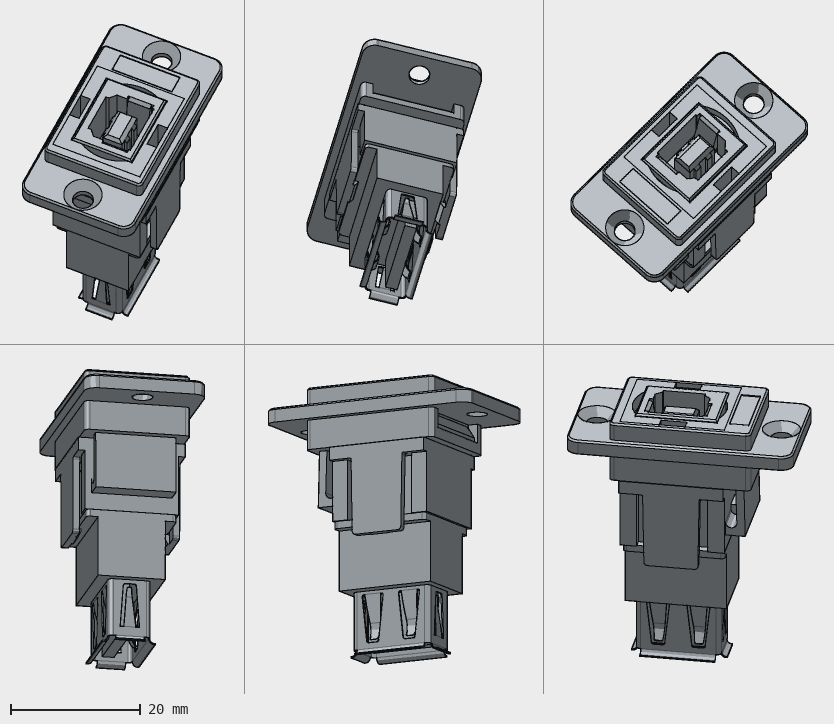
import cadquery as cq
import math

LIP_TOP_Z = 0.9
BLOCK_BOTTOM_Z = 10.0
LEDGE_BOTTOM_Z = 19.48
MODULE_BOTTOM_Z = 20.6
WING_BOTTOM_Z = 30.1
FRAME_BOTTOM_Z = 32.15
FLANGE_BOTTOM_Z = 36.8
FLANGE_TOP_Z = 39.1
FRAME_TOP_Z = 41.9
BLOCK_TOP_Z = 42.25

FLANGE_X = 19.0
FLANGE_Y = 35.5
FLANGE_CORNER_R = 2.0
EDGE_CHAMFER = 0.3
BEZEL_X = 16.6
BEZEL_Y = 22.2
BEZEL_CORNER_R = 0.75
SCREW_PITCH = 28.95
SCREW_D = 3.2
SINK_D = 5.9
SINK_ANGLE = 90
LABEL_X = 10.15
LABEL_Y = 3.0
LABEL_DEPTH = 0.15
LABEL_CENTER_Y = 8.75
WINDOW_X = 12.95
WINDOW_BOTTOM_Z = 33.85

MODULE_X = 14.8
MODULE_Y = 16.4
MODULE_CENTER_Y = -1.35
WING_X = 16.9
ARM_TOP_Y = 8.87
ARM_BOTTOM_Y = 8.45
ARM_BOTTOM_Z = 17.95
ARM_FOOT_R = 0.55
ARM_ROOT_R = 0.3
HOOK_Y = 3.13
HOOK_REACH = 0.85
HOOK_FLAT = 0.35
HOOK_TOE = 0.25
NOTCH_Y = 4.05
NOTCH_DEPTH = 1.6
SLOT_Y = 11.15
CRESCENT_R = 7.35
CRESCENT_X = 0.5
CRESCENT_DEPTH = 2.1
POCKET_SIDE_GAP = 0.13
LUG_X = 12.25
LUG_REACH = 1.23
LUG_EDGE_Z = 34.55
LUG_TOP_Z = 36.4
LEVER_X = 12.68
LEVER_TOP_Y = 9.7
LEVER_BOTTOM_Y = 9.93
LEVER_THICKNESS = 1.3
LEVER_BOTTOM_Z = 23.3
LEVER_GROOVE_R = 0.9
LEVER_WEB_X = 3.4
LEVER_WEB_TOP_Z = 26.3

BLOCK_CENTER_Y = -1.15
SOCKET_X = 10.15
SOCKET_Y = 12.93
LEDGE_X = 14.2
LEDGE_CORNER_R = 0.55
BODY_X = 10.6
BODY_Y = 15.93
CATCH_RISE = 0.6
CATCH_INSET = 0.15
CAVITY_CENTER_Y = -1.45
CAVITY_LEFT_X = -3.65
CAVITY_RIGHT_X = 4.05
CAVITY_Y = 8.6
CAVITY_SIDE_Y = 6.6
CAVITY_STEP_X = 0.55
CAVITY_BEVEL_X = 0.85
CAVITY_FLOOR_Z = 33.8
RAMP_LEFT_X = -0.4
RAMP_X = 3.75
RAMP_NOTCH_SIDE_GAP = 0.15
RAMP_NOTCH_LIP_X = 0.3
RAMP_NOTCH_DEPTH = 0.6
RAMP_BEVEL_Y = 0.55
RAMP_BEVEL_Z = 0.5
RAMP_RUN = 1.23
RAMP_BOTTOM_Z = 35.5
RAMP_WALL_Y = CAVITY_Y / 2 + RAMP_NOTCH_DEPTH
RAMP_FOOT_Y = RAMP_WALL_Y - RAMP_BEVEL_Y - RAMP_RUN
TONGUE_LEFT_X = -1.4
TONGUE_X = 3.3
TONGUE_Y = 5.55
TONGUE_TOP_Z = 41.05
TONGUE_BEVEL_X = 0.65
TONGUE_BEVEL_Y = 0.42
TONGUE_BEVEL_Z = 0.65
TONGUE_RIB_LEFT_X = -0.25
TONGUE_RIB_X = 1.05
TONGUE_RIB_Z = 0.85
CONTACT_REACH = 0.42
CONTACT_Y = 1.05
CONTACT_PITCH = 2.55
CONTACT_DROP = 0.65
PLUG_TONGUE_LEFT_X = -0.15
PLUG_TONGUE_X = 1.85
PLUG_TONGUE_Y = 11.15
PLUG_TONGUE_END_Z = 1.25

SHELL_X = 6.68
SHELL_Y = 13.35
SHELL_CORNER_R = 0.75
SHEET = 0.2
LIP_R = 0.68
LIP_REACH = 0.85
END_LIP_LENGTH = 4.48
SIDE_LIP_LENGTH = 11.75
SIDE_SPRING_PITCH = 6.35
SIDE_WINDOW_TOP_Z = 9.5
SIDE_WINDOW_BOTTOM_Z = 1.85
SIDE_WINDOW_TOP_W = 3.7
SIDE_WINDOW_BOTTOM_W = 2.03
SIDE_SPRING_TOP_W = 2.8
SIDE_SPRING_TIP_W = 1.35
SIDE_SPRING_TIP_Z = 2.35
SIDE_SPRING_MIDDLE_Z = 7.2
SIDE_SPRING_BEND_Z = 5.05
SIDE_SPRING_MIDDLE_DEPTH = 0.4
SIDE_SPRING_BEND_DEPTH = 0.95
SIDE_SPRING_TIP_DEPTH = 0.25
SPRING_MAX_DEPTH = 1.7
END_WINDOW_TOP_Z = 9.4
END_WINDOW_BOTTOM_Z = 2.4
END_WINDOW_TOP_W = 2.03
END_WINDOW_BOTTOM_W = 3.05
END_SPRING_ROOT_W = 1.9
END_SPRING_TIP_W = 0.68
END_SPRING_TIP_Z = 8.9
END_SPRING_MIDDLE_Z = 4.85
END_SPRING_BEND_Z = 7.4
END_SPRING_MIDDLE_DEPTH = 0.2
END_SPRING_BEND_DEPTH = 0.5
END_SPRING_TIP_DEPTH = 0.25
WINDOW_CORNER_R = 0.4
SPRING_TIP_R = 0.25


def box(x0, x1, y0, y1, z0, z1):
    """Box between two opposite corners."""
    return cq.Workplane("XY").box(x1 - x0, y1 - y0, z1 - z0, centered=False).translate((x0, y0, z0))


def centered_box(size_x, size_y, center_y, z0, z1):
    """Box centred on X = 0 and on the given Y."""
    return box(-size_x / 2, size_x / 2, center_y - size_y / 2, center_y + size_y / 2, z0, z1)


def prism_along_x(points, x0, x1):
    """Prism with a (Y, Z) outline between two X positions."""
    return cq.Workplane("YZ").polyline(points).close().extrude(x1 - x0).translate((x0, 0, 0))


def prism_along_y(points, y0, y1):
    """Prism with an (X, Z) outline between two Y positions."""
    return cq.Workplane("XZ").polyline(points).close().extrude(y0 - y1).translate((0, y0, 0))


def mirrored_x(shape):
    return shape.mirror("YZ")


def make_frame():
    flange = centered_box(FLANGE_X, FLANGE_Y, 0, FLANGE_BOTTOM_Z, FLANGE_TOP_Z)
    flange = flange.edges("|Z").fillet(FLANGE_CORNER_R).faces(">Z").chamfer(EDGE_CHAMFER)
    flange = (
        flange.faces(">Z").workplane(origin=(0, 0, FLANGE_TOP_Z))
        .pushPoints([(0, -SCREW_PITCH / 2), (0, SCREW_PITCH / 2)])
        .cskHole(SCREW_D, SINK_D, SINK_ANGLE)
    )
    bezel = centered_box(BEZEL_X, BEZEL_Y, 0, FRAME_BOTTOM_Z, FRAME_TOP_Z)
    bezel = bezel.edges("|Z").fillet(BEZEL_CORNER_R).faces(">Z").chamfer(EDGE_CHAMFER)
    opening = centered_box(MODULE_X, MODULE_Y, MODULE_CENTER_Y, FRAME_BOTTOM_Z, FRAME_TOP_Z)
    window = box(
        -WINDOW_X / 2, WINDOW_X / 2, -BEZEL_Y / 2, MODULE_CENTER_Y, WINDOW_BOTTOM_Z, FLANGE_BOTTOM_Z
    )
    label = centered_box(LABEL_X, LABEL_Y, LABEL_CENTER_Y, FRAME_TOP_Z - LABEL_DEPTH, FRAME_TOP_Z)
    return flange.union(bezel).cut(opening).cut(window).cut(label)


def make_arm():
    """Wing and spring arm on the +X side, with the latching hook at the arm's foot."""
    wing_half = MODULE_Y / 2
    points = [
        (-wing_half, FRAME_BOTTOM_Z),
        (wing_half, FRAME_BOTTOM_Z),
        (wing_half, WING_BOTTOM_Z),
        (ARM_TOP_Y / 2, WING_BOTTOM_Z),
        (ARM_BOTTOM_Y / 2, ARM_BOTTOM_Z),
        (-ARM_BOTTOM_Y / 2, ARM_BOTTOM_Z),
        (-ARM_TOP_Y / 2, WING_BOTTOM_Z),
        (-wing_half, WING_BOTTOM_Z),
    ]
    arm = prism_along_x(points, MODULE_X / 2, WING_X / 2)
    arm = arm.edges("|X").edges("<Z").fillet(ARM_FOOT_R)
    root_edges = cq.selectors.BoxSelector(
        (0, -ARM_TOP_Y / 2 - ARM_ROOT_R, WING_BOTTOM_Z - ARM_ROOT_R),
        (WING_X, ARM_TOP_Y / 2 + ARM_ROOT_R, WING_BOTTOM_Z + ARM_ROOT_R),
    )
    arm = arm.edges("|X").edges(root_edges).fillet(ARM_ROOT_R)

    face = MODULE_X / 2
    hook = prism_along_y(
        [
            (face, LEDGE_BOTTOM_Z),
            (face - HOOK_REACH, LEDGE_BOTTOM_Z),
            (face - HOOK_REACH, LEDGE_BOTTOM_Z - HOOK_FLAT),
            (face - HOOK_TOE, ARM_BOTTOM_Z),
            (face, ARM_BOTTOM_Z),
        ],
        -HOOK_Y / 2,
        HOOK_Y / 2,
    )
    return arm.union(hook).translate((0, MODULE_CENTER_Y, 0))


def make_lug():
    """Wedge that catches in the frame window."""
    face = MODULE_CENTER_Y - MODULE_Y / 2
    points = [
        (face, WINDOW_BOTTOM_Z),
        (face - LUG_REACH, WINDOW_BOTTOM_Z),
        (face - LUG_REACH, LUG_EDGE_Z),
        (face, LUG_TOP_Z),
    ]
    return prism_along_x(points, -LUG_X / 2, LUG_X / 2)


def make_lever():
    """J-shaped release lever on the +Y side, with a central web in its round groove."""
    face = MODULE_CENTER_Y + MODULE_Y / 2
    groove_z = LEVER_BOTTOM_Z + LEVER_THICKNESS + LEVER_GROOVE_R
    lever_inner_y = face + 2 * LEVER_GROOVE_R
    lever = (
        cq.Workplane("YZ")
        .moveTo(face, LEVER_BOTTOM_Z)
        .lineTo(LEVER_BOTTOM_Y, LEVER_BOTTOM_Z)
        .lineTo(LEVER_TOP_Y, FRAME_BOTTOM_Z)
        .lineTo(LEVER_TOP_Y - LEVER_THICKNESS, FRAME_BOTTOM_Z)
        .lineTo(lever_inner_y, groove_z)
        .threePointArc((face + LEVER_GROOVE_R, groove_z - LEVER_GROOVE_R), (face, groove_z))
        .close()
        .extrude(LEVER_X / 2, both=True)
    )
    web = box(
        -LEVER_WEB_X / 2, LEVER_WEB_X / 2, face, lever_inner_y, LEVER_BOTTOM_Z, LEVER_WEB_TOP_Z
    )
    return lever.union(web)


def make_module():
    module = centered_box(MODULE_X, MODULE_Y, MODULE_CENTER_Y, MODULE_BOTTOM_Z, FRAME_TOP_Z)

    pocket_x = SOCKET_X + 2 * POCKET_SIDE_GAP
    pocket = centered_box(pocket_x, SOCKET_Y, BLOCK_CENTER_Y, MODULE_BOTTOM_Z, FRAME_TOP_Z)
    crescent_floor_z = FRAME_TOP_Z - CRESCENT_DEPTH
    crescents = (
        cq.Workplane("XY", origin=(CRESCENT_X, MODULE_CENTER_Y, crescent_floor_z))
        .circle(CRESCENT_R)
        .extrude(CRESCENT_DEPTH)
        .intersect(centered_box(pocket_x, MODULE_Y, MODULE_CENTER_Y, crescent_floor_z, FRAME_TOP_Z))
    )
    module = module.cut(pocket).cut(crescents)

    slot_inner_x = MODULE_X / 2 - NOTCH_DEPTH
    for length, top_z in ((NOTCH_Y, FRAME_TOP_Z), (SLOT_Y, WING_BOTTOM_Z)):
        slot = box(slot_inner_x, MODULE_X / 2, -length / 2, length / 2, MODULE_BOTTOM_Z, top_z)
        slot = slot.translate((0, MODULE_CENTER_Y, 0))
        module = module.cut(slot).cut(mirrored_x(slot))

    arm = make_arm()
    return module.union(arm).union(mirrored_x(arm)).union(make_lug()).union(make_lever())


def make_cavity():
    """Socket cavity with two bevelled corners, notches for the ramps and a flat floor."""
    half_y = CAVITY_Y / 2
    side_y = CAVITY_SIDE_Y / 2
    step_x = CAVITY_LEFT_X + CAVITY_STEP_X
    bevel_x = step_x + CAVITY_BEVEL_X
    depth = BLOCK_TOP_Z - CAVITY_FLOOR_Z
    cavity = (
        cq.Workplane("XY", origin=(0, CAVITY_CENTER_Y, CAVITY_FLOOR_Z))
        .polyline(
            [
                (CAVITY_LEFT_X, -side_y),
                (step_x, -side_y),
                (bevel_x, -half_y),
                (CAVITY_RIGHT_X, -half_y),
                (CAVITY_RIGHT_X, half_y),
                (bevel_x, half_y),
                (step_x, side_y),
                (CAVITY_LEFT_X, side_y),
            ]
        )
        .close()
        .extrude(depth)
    )
    notches = box(
        RAMP_LEFT_X - RAMP_NOTCH_SIDE_GAP,
        CAVITY_RIGHT_X - RAMP_NOTCH_LIP_X,
        CAVITY_CENTER_Y - RAMP_WALL_Y,
        CAVITY_CENTER_Y + RAMP_WALL_Y,
        CAVITY_FLOOR_Z,
        BLOCK_TOP_Z,
    )
    return cavity.union(notches)


def make_ramps():
    """Pair of sloped contact springs at the +Y and -Y ends of the cavity."""
    points = [
        (RAMP_WALL_Y, BLOCK_TOP_Z),
        (RAMP_WALL_Y - RAMP_BEVEL_Y, BLOCK_TOP_Z - RAMP_BEVEL_Z),
        (RAMP_FOOT_Y, RAMP_BOTTOM_Z),
        (RAMP_WALL_Y, RAMP_BOTTOM_Z),
    ]
    ramp = prism_along_x(points, RAMP_LEFT_X, RAMP_LEFT_X + RAMP_X)
    return ramp.union(ramp.mirror("XZ")).translate((0, CAVITY_CENTER_Y, 0))


def make_socket_tongue():
    """Bevelled contact tongue standing on the cavity floor, with ribs and four contacts."""
    bevel_z = TONGUE_TOP_Z - TONGUE_BEVEL_Z
    center_x = TONGUE_LEFT_X + TONGUE_X / 2
    tongue = (
        cq.Workplane("XY", origin=(center_x, CAVITY_CENTER_Y, CAVITY_FLOOR_Z))
        .rect(TONGUE_X, TONGUE_Y)
        .extrude(bevel_z - CAVITY_FLOOR_Z)
    )
    tip = (
        cq.Workplane("XY", origin=(center_x, CAVITY_CENTER_Y, bevel_z))
        .rect(TONGUE_X, TONGUE_Y)
        .workplane(offset=TONGUE_BEVEL_Z)
        .rect(TONGUE_X - 2 * TONGUE_BEVEL_X, TONGUE_Y - 2 * TONGUE_BEVEL_Y)
        .loft(ruled=True)
    )
    rib = box(
        TONGUE_RIB_LEFT_X,
        TONGUE_RIB_LEFT_X + TONGUE_RIB_X,
        CAVITY_CENTER_Y - RAMP_WALL_Y,
        CAVITY_CENTER_Y + RAMP_WALL_Y,
        CAVITY_FLOOR_Z,
        CAVITY_FLOOR_Z + TONGUE_RIB_Z,
    )
    tongue = tongue.union(tip).union(rib)

    left_x = TONGUE_LEFT_X
    right_x = TONGUE_LEFT_X + TONGUE_X
    contact_outline = [
        (left_x - CONTACT_REACH, CAVITY_FLOOR_Z),
        (right_x + CONTACT_REACH, CAVITY_FLOOR_Z),
        (right_x + CONTACT_REACH, bevel_z - CONTACT_DROP),
        (right_x, bevel_z),
        (left_x, bevel_z),
        (left_x - CONTACT_REACH, bevel_z - CONTACT_DROP),
    ]
    for side in (-1, 1):
        contact_y = CAVITY_CENTER_Y + side * CONTACT_PITCH / 2
        contact_pair = prism_along_y(contact_outline, contact_y - CONTACT_Y / 2, contact_y + CONTACT_Y / 2)
        tongue = tongue.union(contact_pair)
    return tongue


def make_catch():
    """Sloped catch on the +X edge of the ledge, just above the arm's hook."""
    points = [
        (0, LEDGE_BOTTOM_Z),
        (MODULE_X / 2, LEDGE_BOTTOM_Z),
        (MODULE_X / 2, MODULE_BOTTOM_Z - CATCH_RISE),
        (LEDGE_X / 2 - CATCH_INSET, MODULE_BOTTOM_Z),
        (0, MODULE_BOTTOM_Z),
    ]
    half_y = HOOK_Y / 2
    return prism_along_y(points, MODULE_CENTER_Y - half_y, MODULE_CENTER_Y + half_y)


def make_block():
    socket = centered_box(SOCKET_X, SOCKET_Y, BLOCK_CENTER_Y, MODULE_BOTTOM_Z, BLOCK_TOP_Z)
    socket = socket.faces(">Z").chamfer(EDGE_CHAMFER)
    ledge = centered_box(LEDGE_X, BODY_Y, BLOCK_CENTER_Y, LEDGE_BOTTOM_Z, MODULE_BOTTOM_Z)
    ledge = ledge.edges("|Z").fillet(LEDGE_CORNER_R)
    body = centered_box(BODY_X, BODY_Y, BLOCK_CENTER_Y, BLOCK_BOTTOM_Z, LEDGE_BOTTOM_Z)
    catch = make_catch()
    plug_tongue = box(
        PLUG_TONGUE_LEFT_X,
        PLUG_TONGUE_LEFT_X + PLUG_TONGUE_X,
        BLOCK_CENTER_Y - PLUG_TONGUE_Y / 2,
        BLOCK_CENTER_Y + PLUG_TONGUE_Y / 2,
        PLUG_TONGUE_END_Z,
        BLOCK_BOTTOM_Z,
    )
    block = socket.union(ledge).union(body).union(catch).union(mirrored_x(catch)).union(plug_tongue)
    return block.cut(make_cavity()).union(make_ramps()).union(make_socket_tongue())


def wall_prism(bottom_w, bottom_z, top_w, top_z, depth):
    """Trapezoidal prism through the wall, reaching the given depth inward."""
    points = [(-bottom_w / 2, bottom_z), (bottom_w / 2, bottom_z), (top_w / 2, top_z), (-top_w / 2, top_z)]
    return prism_along_x(points, -depth, 0)


def make_spring(outline, root_z, middle, bend, tip):
    """Bent strip trimmed to a tapered outline; middle, bend and tip are (depth, Z) pairs.

    The strip leans inward through the middle to the bend, then curls back out to the tip.
    """
    bounds = outline.val().BoundingBox()
    outer_side = (
        cq.Workplane("XZ", origin=(0, bounds.ymax, 0))
        .moveTo(0, root_z)
        .threePointArc((-middle[0], middle[1]), (-bend[0], bend[1]))
        .tangentArcPoint((-tip[0], tip[1]), relative=False)
        .lineTo(SHEET, tip[1])
        .lineTo(SHEET, root_z)
        .close()
        .extrude(bounds.ylen)
    )
    return outer_side.translate((-SHEET, 0, 0)).cut(outer_side).intersect(outline)


def make_side_window():
    window = wall_prism(
        SIDE_WINDOW_BOTTOM_W, SIDE_WINDOW_BOTTOM_Z, SIDE_WINDOW_TOP_W, SIDE_WINDOW_TOP_Z, SHEET
    )
    return window.edges("|X").fillet(WINDOW_CORNER_R)


def make_side_spring():
    outline = wall_prism(
        SIDE_SPRING_TIP_W, SIDE_SPRING_TIP_Z, SIDE_SPRING_TOP_W, SIDE_WINDOW_TOP_Z, SPRING_MAX_DEPTH
    )
    outline = outline.edges("|X").edges("<Z").fillet(SPRING_TIP_R)
    return make_spring(
        outline,
        SIDE_WINDOW_TOP_Z,
        (SIDE_SPRING_MIDDLE_DEPTH, SIDE_SPRING_MIDDLE_Z),
        (SIDE_SPRING_BEND_DEPTH, SIDE_SPRING_BEND_Z),
        (SIDE_SPRING_TIP_DEPTH, SIDE_SPRING_TIP_Z),
    )


def make_end_window():
    window = wall_prism(
        END_WINDOW_BOTTOM_W, END_WINDOW_BOTTOM_Z, END_WINDOW_TOP_W, END_WINDOW_TOP_Z, SHEET
    )
    return window.edges("|X").edges(">Z").fillet(WINDOW_CORNER_R)


def make_end_spring():
    outline = wall_prism(
        END_SPRING_ROOT_W, END_WINDOW_BOTTOM_Z, END_SPRING_TIP_W, END_SPRING_TIP_Z, SPRING_MAX_DEPTH
    )
    outline = outline.edges("|X").edges(">Z").fillet(SPRING_TIP_R)
    return make_spring(
        outline,
        END_WINDOW_BOTTOM_Z,
        (END_SPRING_MIDDLE_DEPTH, END_SPRING_MIDDLE_Z),
        (END_SPRING_BEND_DEPTH, END_SPRING_BEND_Z),
        (END_SPRING_TIP_DEPTH, END_SPRING_TIP_Z),
    )


def make_lip(length):
    """Flared lip that curls outward from the lower edge of a wall."""
    outer_r = LIP_R + SHEET
    diagonal = math.sqrt(0.5)
    return (
        cq.Workplane("XZ")
        .moveTo(0, LIP_TOP_Z)
        .threePointArc(
            (LIP_R * (1 - diagonal), LIP_TOP_Z - LIP_R * diagonal), (LIP_R, LIP_TOP_Z - LIP_R)
        )
        .lineTo(LIP_REACH, LIP_TOP_Z - LIP_R)
        .lineTo(LIP_REACH, LIP_TOP_Z - outer_r)
        .lineTo(LIP_R, LIP_TOP_Z - outer_r)
        .threePointArc(
            (LIP_R - outer_r * diagonal, LIP_TOP_Z - outer_r * diagonal), (-SHEET, LIP_TOP_Z)
        )
        .close()
        .extrude(length / 2, both=True)
    )


def on_walls(feature, distance, first_angle):
    """The feature on two opposite walls, the first facing the given direction."""
    placed = feature.translate((distance, 0, 0)).rotate((0, 0, 0), (0, 0, 1), first_angle)
    return placed.union(placed.rotate((0, 0, 0), (0, 0, 1), 180))


def make_shell():
    sleeve = centered_box(SHELL_X, SHELL_Y, 0, LIP_TOP_Z, BLOCK_BOTTOM_Z)
    sleeve = sleeve.edges("|Z").fillet(SHELL_CORNER_R)
    bore = centered_box(SHELL_X - 2 * SHEET, SHELL_Y - 2 * SHEET, 0, LIP_TOP_Z, BLOCK_BOTTOM_Z)
    bore = bore.edges("|Z").fillet(SHELL_CORNER_R - SHEET)
    shell = sleeve.cut(bore)

    for offset in (-SIDE_SPRING_PITCH / 2, SIDE_SPRING_PITCH / 2):
        window = make_side_window().translate((0, offset, 0))
        spring = make_side_spring().translate((0, offset, 0))
        shell = shell.cut(on_walls(window, SHELL_X / 2, 0))
        shell = shell.union(on_walls(spring, SHELL_X / 2, 0))

    shell = shell.cut(on_walls(make_end_window(), SHELL_Y / 2, 90))
    shell = shell.union(on_walls(make_end_spring(), SHELL_Y / 2, 90))
    shell = shell.union(on_walls(make_lip(SIDE_LIP_LENGTH), SHELL_X / 2, 0))
    shell = shell.union(on_walls(make_lip(END_LIP_LENGTH), SHELL_Y / 2, 90))
    return shell.translate((0, BLOCK_CENTER_Y, 0))


frame = make_frame()
module = make_module()
block = make_block()
shell = make_shell()

bodies = [frame, module, block, shell]
result = cq.Compound.makeCompound([body.solids().val() for body in bodies])